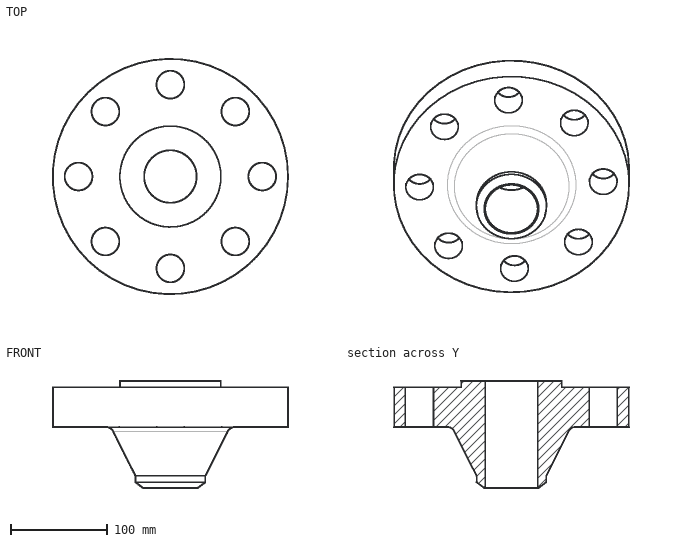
import cadquery as cq

flange_diameter = 244.5
flange_thickness = 41.5
face_diameter = 104.9
face_height = 6.4

overall_height = 111.2
neck_root_diameter = 123.7
neck_end_diameter = 72.9
neck_end_length = 12.7
root_fillet_radius = 8.0
weld_bevel_height = 6.0
weld_bevel_width = 8.0

bore_diameter = 54.3
bolt_hole_diameter = 28.5
bolt_circle_diameter = 190.7
bolt_count = 8

flange_top = overall_height - face_height
flange_bottom = flange_top - flange_thickness


def revolved_body():
    """Flange, raised face and tapered neck turned about the Z axis."""
    return (
        cq.Workplane("XZ")
        .moveTo(0, 0)
        .lineTo(neck_end_diameter / 2 - weld_bevel_width, 0)
        .lineTo(neck_end_diameter / 2, weld_bevel_height)
        .lineTo(neck_end_diameter / 2, neck_end_length)
        .lineTo(neck_root_diameter / 2, flange_bottom)
        .lineTo(flange_diameter / 2, flange_bottom)
        .lineTo(flange_diameter / 2, flange_top)
        .lineTo(face_diameter / 2, flange_top)
        .lineTo(face_diameter / 2, overall_height)
        .lineTo(0, overall_height)
        .close()
        .revolve(360, (0, 0, 0), (0, 1, 0))
    )


def round_neck_root(body):
    """Blend the neck into the underside of the flange."""
    margin = 0.2
    root_size = neck_root_diameter / 2 + margin
    root_edge = cq.selectors.BoxSelector(
        (-root_size, -root_size, flange_bottom - margin),
        (root_size, root_size, flange_bottom + margin),
        boundingbox=True,
    )
    return body.edges(root_edge).fillet(root_fillet_radius)


def bolt_holes():
    """Cutters for the through holes, evenly spaced on the bolt circle."""
    return (
        cq.Workplane("XY")
        .workplane(offset=flange_bottom)
        .polarArray(bolt_circle_diameter / 2, 0, 360, bolt_count)
        .circle(bolt_hole_diameter / 2)
        .extrude(flange_thickness)
    )


bore = cq.Workplane("XY").circle(bore_diameter / 2).extrude(overall_height)

result = round_neck_root(revolved_body()).cut(bore).cut(bolt_holes())